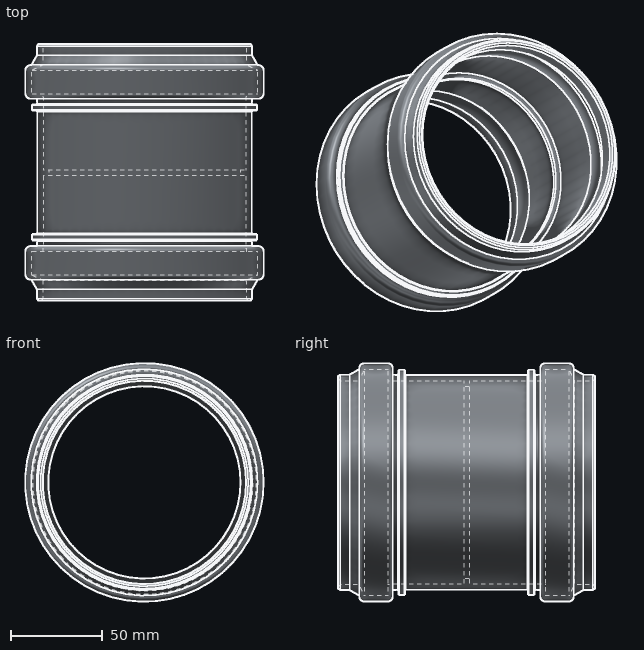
import cadquery as cq

LENGTH = 140.0
HALF_LENGTH = LENGTH / 2
TUBE_RADIUS = 117.2 / 2
TUBE_BORE_RADIUS = 110.6 / 2

SOCKET_OUTER_RADIUS = 117.5 / 2
SOCKET_BORE_RADIUS = 110.9 / 2
LIP_LENGTH = 6.3
LIP_CHAMFER_LENGTH = 1.3
LIP_CHAMFER_OUTER = 0.8
LIP_CHAMFER_INNER = 1.1

BEAD_RADIUS = 130.0 / 2
BEAD_START = 11.5
BEAD_END = 30.0
BEAD_FILLET = 3.1
CONE_RADIUS = 123.3 / 2

OUTER_TAPER_START = 31.0
INNER_TAPER_START = 28.1
TAPER_LENGTH = 0.8

RIB_RADIUS = 122.8 / 2
RIB_START = 32.9
RIB_END = 36.5
RIB_CHAMFER = 0.5
RIB_FOOT = 0.4

EDGE_START = 10.2
EDGE_LENGTH = 1.0
GROOVE_RADIUS = 123.2 / 2
GROOVE_FULL_START = 14.3
GROOVE_END = 27.2

STOP_RADIUS = 104.6 / 2
STOP_WIDTH = 3.1


def revolve_profile(points):
    """Revolve an outline about the Y axis; points are (radius, distance from the -Y mouth)."""
    outline = [(radius, distance - HALF_LENGTH) for radius, distance in points]
    return cq.Workplane("XY").polyline(outline).close().revolve(360, (0, 0, 0), (0, 1, 0))


def mirrored_profile(half_points):
    """Revolve a half outline, running from the mouth to mid-length, together with its mirror."""
    other_half = [(radius, LENGTH - distance) for radius, distance in reversed(half_points)]
    return revolve_profile(half_points + other_half)


def outer_shape():
    """Lip, cone, tapered neck, rib and tube; the beads are added separately."""
    return mirrored_profile([
        (0, 0),
        (SOCKET_OUTER_RADIUS - LIP_CHAMFER_OUTER, 0),
        (SOCKET_OUTER_RADIUS, LIP_CHAMFER_LENGTH),
        (SOCKET_OUTER_RADIUS, LIP_LENGTH),
        (CONE_RADIUS, BEAD_START),
        (CONE_RADIUS, BEAD_END),
        (SOCKET_OUTER_RADIUS, BEAD_END),
        (SOCKET_OUTER_RADIUS, OUTER_TAPER_START),
        (TUBE_RADIUS, OUTER_TAPER_START + TAPER_LENGTH),
        (TUBE_RADIUS, RIB_START - RIB_FOOT),
        (TUBE_RADIUS + RIB_FOOT, RIB_START),
        (RIB_RADIUS - RIB_CHAMFER, RIB_START),
        (RIB_RADIUS, RIB_START + RIB_CHAMFER),
        (RIB_RADIUS, RIB_END - RIB_CHAMFER),
        (RIB_RADIUS - RIB_CHAMFER, RIB_END),
        (TUBE_RADIUS + RIB_FOOT, RIB_END),
        (TUBE_RADIUS, RIB_END + RIB_FOOT),
    ])


def bead(start):
    """Rounded solid disc about the Y axis, starting at a distance from the -Y mouth."""
    plane = cq.Workplane("XZ", origin=(0, start - HALF_LENGTH, 0))
    return plane.circle(BEAD_RADIUS).extrude(BEAD_START - BEAD_END).edges().fillet(BEAD_FILLET)


def cavity():
    """Inside space: flared mouths, seal grooves and tube bore on both sides of the pipe stop."""
    stop_start = HALF_LENGTH - STOP_WIDTH / 2
    return mirrored_profile([
        (0, 0),
        (SOCKET_BORE_RADIUS + LIP_CHAMFER_INNER, 0),
        (SOCKET_BORE_RADIUS, LIP_CHAMFER_LENGTH),
        (SOCKET_BORE_RADIUS, EDGE_START),
        (TUBE_BORE_RADIUS, EDGE_START + EDGE_LENGTH),
        (GROOVE_RADIUS, GROOVE_FULL_START),
        (GROOVE_RADIUS, GROOVE_END),
        (SOCKET_BORE_RADIUS, GROOVE_END),
        (SOCKET_BORE_RADIUS, INNER_TAPER_START),
        (TUBE_BORE_RADIUS, INNER_TAPER_START + TAPER_LENGTH),
        (TUBE_BORE_RADIUS, stop_start),
        (STOP_RADIUS, stop_start),
    ])


body = outer_shape()
for bead_start in (BEAD_START, LENGTH - BEAD_END):
    body = body.union(bead(bead_start))

result = body.cut(cavity())